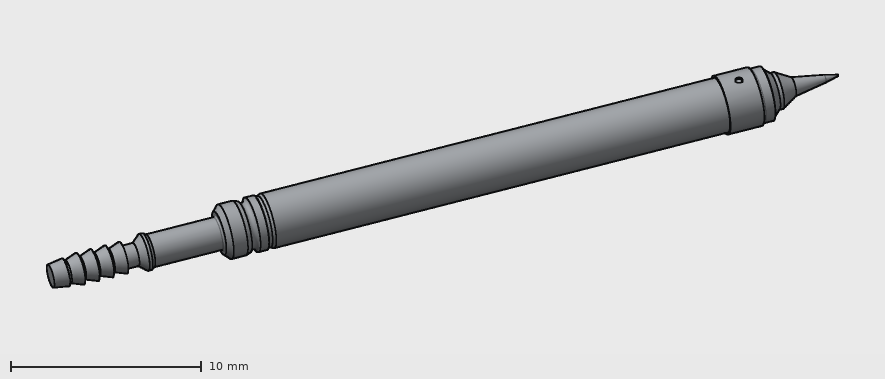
import cadquery as cq
import math

length = 43.7

diagonal = math.sqrt(0.5)

tip_radius = 0.05
point_length = 0.75
point_radius = 0.2
needle_length = 2.5
needle_base_radius = 0.52
nose_neck_start = 3.3
nose_neck_end = 3.55
nose_neck_radius = 1.0
flare_end = 3.98
flare_radius = 1.4

body_radius = 2.95 / 2
collar_radius = 3.2 / 2
collar_start = 4.65
collar_fillet = collar_radius - body_radius
collar_end = 6.5
dimple_position = 5.5
dimple_diameter = 0.4
dimple_depth = 0.15

flat_groove_start = 31.7
flat_groove_end = 32.08
flat_groove_depth = 0.1
flat_groove_slope = 0.17
round_groove_start = 32.55
round_groove_end = 33.0
round_groove_depth = 0.2
groove_exit_depth = 0.1
groove_exit_end = 33.25
body_end = 34.35
body_chamfer = 0.3

rod_radius = 1.8 / 2
rod_fillet = 0.11
bead_start = 38.2
bead_end = 38.55
bead_radius = 2.0 / 2
bead_rise = 0.17
stem_start = 39.0
stem_radius = 1.25 / 2

barb_count = 5
first_barb = 39.7
last_barb = 42.85
barb_pitch = (last_barb - first_barb) / (barb_count - 1)
barb_radius = 1.75 / 2
barb_taper = 0.65
last_barb_radius = 1.55 / 2


def barb_points(index):
    """Step and taper of one barb; the last one is lower and tapers to the rear end."""
    start = first_barb + index * barb_pitch
    is_last = index == barb_count - 1
    peak = last_barb_radius if is_last else barb_radius
    taper_end = length if is_last else start + barb_taper
    return [(stem_radius, start), (peak, start), (stem_radius, taper_end)]


def to_profile(points):
    """Turn (radius, distance from tip) pairs into (Y, Z) sketch points."""
    return [(length / 2 - distance, radius) for radius, distance in points]


front_points = [
    (0, 0),
    (tip_radius, 0),
    (point_radius, point_length),
    (needle_base_radius, needle_length),
    (nose_neck_radius, nose_neck_start),
    (nose_neck_radius, nose_neck_end),
    (flare_radius, flare_end),
    (body_radius, flare_end),
    (body_radius, collar_start - collar_fillet),
]

collar_fillet_points = [
    (body_radius + collar_fillet * (1 - diagonal), collar_start - collar_fillet * (1 - diagonal)),
    (collar_radius, collar_start),
]

sleeve_points = [
    (collar_radius, collar_end),
    (body_radius, collar_end),
    (body_radius, flat_groove_start),
    (body_radius - flat_groove_depth, flat_groove_start + flat_groove_slope),
    (body_radius - flat_groove_depth, flat_groove_end),
    (body_radius, flat_groove_end),
    (body_radius, round_groove_start),
]

round_groove_points = [
    (body_radius - round_groove_depth, (round_groove_start + round_groove_end) / 2),
    (body_radius - groove_exit_depth, round_groove_end),
]

body_end_points = [
    (body_radius, groove_exit_end),
    (body_radius, body_end - body_chamfer),
    (body_radius - body_chamfer, body_end),
    (rod_radius + rod_fillet, body_end),
]

rod_fillet_points = [
    (rod_radius + rod_fillet * (1 - diagonal), body_end + rod_fillet * (1 - diagonal)),
    (rod_radius, body_end + rod_fillet),
]

rear_points = [
    (rod_radius, bead_start),
    (bead_radius, bead_start + bead_rise),
    (bead_radius, bead_end),
    (stem_radius, stem_start),
]
for barb in range(barb_count):
    rear_points += barb_points(barb)
rear_points += [(0, length)]

turned_body = (
    cq.Workplane("YZ")
    .polyline(to_profile(front_points))
    .threePointArc(*to_profile(collar_fillet_points))
    .polyline(to_profile(sleeve_points), includeCurrent=True)
    .threePointArc(*to_profile(round_groove_points))
    .polyline(to_profile(body_end_points), includeCurrent=True)
    .threePointArc(*to_profile(rod_fillet_points))
    .polyline(to_profile(rear_points), includeCurrent=True)
    .close()
    .revolve(360, (0, 0, 0), (1, 0, 0))
)

dimple = (
    cq.Workplane("XY", origin=(0, length / 2 - dimple_position, collar_radius - dimple_depth))
    .circle(dimple_diameter / 2)
    .extrude(2 * dimple_depth)
)

result = turned_body.cut(dimple)